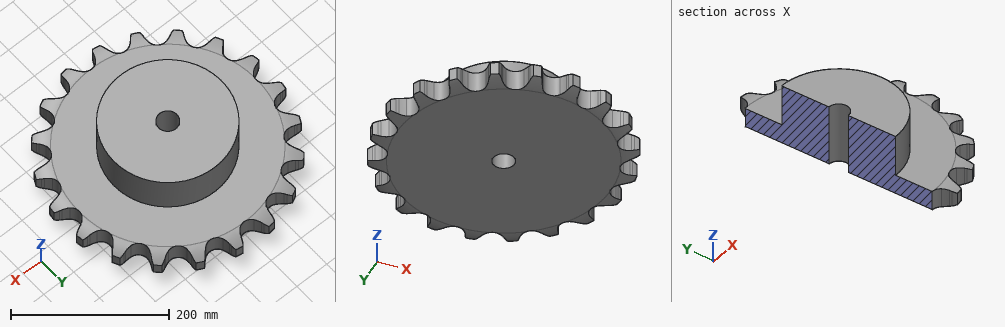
import cadquery as cq
import math

tooth_count = 20
outer_size = 342.5
pitch_diameter = 324.5
roller_diameter = 29.0
seat_radius = 14.7
plate_thickness = 29.0
flat_face_diameter = 296.5
tip_width = 17.8
hub_diameter = 180.0
total_height = 90.0
bore_diameter = 30.0

pitch_angle = 360 / tooth_count
seat_angle = 35 + 60 / tooth_count
working_angle = 18 - 56 / tooth_count
working_center_distance = 0.8 * roller_diameter
topping_center_distance = 1.4 * roller_diameter


def polar(center, radius, angle):
    """Point at a distance and an angle in degrees from a center."""
    turn = math.radians(angle)
    return (center[0] + radius * math.cos(turn), center[1] + radius * math.sin(turn))


def mirrored(point):
    """Point reflected across the Y axis."""
    return (-point[0], point[1])


roller_center = (0, pitch_diameter / 2)
seat_bottom = polar(roller_center, seat_radius, -90)
seat_end = polar(roller_center, seat_radius, -seat_angle)

working_center = polar(roller_center, working_center_distance, 180 - seat_angle)
working_radius = working_center_distance + seat_radius
flank_angle = working_angle - seat_angle
working_middle = polar(working_center, working_radius, flank_angle - working_angle / 2)
working_end = polar(working_center, working_radius, flank_angle)

topping_center = polar(roller_center, topping_center_distance, -pitch_angle / 2)
flank_normal = polar((0, 0), 1, flank_angle)
topping_radius = (
    (topping_center[0] - working_end[0]) * flank_normal[0]
    + (topping_center[1] - working_end[1]) * flank_normal[1]
)
straight_end = polar(topping_center, topping_radius, 180 + flank_angle)

corner_rise = outer_size / 2 - topping_center[1]
corner_angle = 180 - math.degrees(math.asin(corner_rise / topping_radius))
topping_middle = polar(topping_center, topping_radius, (180 + flank_angle + corner_angle) / 2)
tip_corner = polar(topping_center, topping_radius, corner_angle)
tip_radius = math.hypot(tip_corner[0], tip_corner[1])
gap_top = (tip_corner[0], tip_radius + roller_diameter)


def make_blank():
    """Revolved plate whose rim narrows on both faces along tangent arcs."""
    flat_radius = flat_face_diameter / 2
    tip_bottom = (plate_thickness - tip_width) / 2
    tip_top = plate_thickness - tip_bottom
    relief_length = tip_radius - flat_radius
    relief_radius = (relief_length**2 + tip_bottom**2) / (2 * tip_bottom)
    relief_sweep = math.degrees(math.asin(relief_length / relief_radius))
    relief_middle = polar((flat_radius, relief_radius), relief_radius, relief_sweep / 2 - 90)
    relief_middle_top = (relief_middle[0], plate_thickness - relief_middle[1])
    return (
        cq.Workplane("XZ")
        .lineTo(flat_radius, 0)
        .threePointArc(relief_middle, (tip_radius, tip_bottom))
        .lineTo(tip_radius, tip_top)
        .threePointArc(relief_middle_top, (flat_radius, plate_thickness))
        .lineTo(0, plate_thickness)
        .close()
        .revolve(360, (0, 0), (0, 1))
    )


def make_gap():
    """Prism of the space between two neighboring teeth on the +Y axis."""
    return (
        cq.Workplane("XY")
        .moveTo(*gap_top)
        .lineTo(*tip_corner)
        .threePointArc(topping_middle, straight_end)
        .lineTo(*working_end)
        .threePointArc(working_middle, seat_end)
        .threePointArc(seat_bottom, mirrored(seat_end))
        .threePointArc(mirrored(working_middle), mirrored(working_end))
        .lineTo(*mirrored(straight_end))
        .threePointArc(mirrored(topping_middle), mirrored(tip_corner))
        .lineTo(*mirrored(gap_top))
        .close()
        .extrude(plate_thickness)
    )


sprocket = make_blank()
gap = make_gap()
for index in range(tooth_count):
    sprocket = sprocket.cut(gap.rotate((0, 0, 0), (0, 0, 1), index * pitch_angle))

hub = cq.Workplane("XY").circle(hub_diameter / 2).extrude(total_height)
bore = cq.Workplane("XY").circle(bore_diameter / 2).extrude(total_height)
result = sprocket.union(hub).cut(bore)